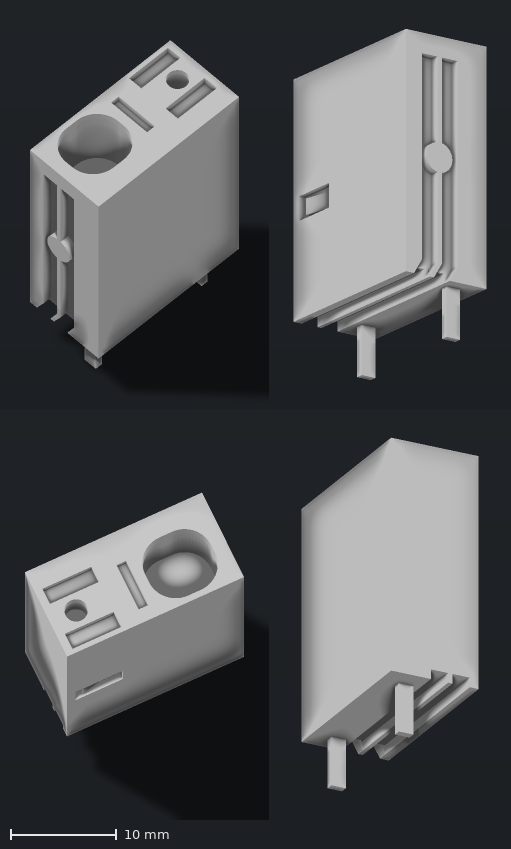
import cadquery as cq

WIDTH = 9.3
DEPTH = 18.5
OVERALL_HEIGHT = 29.15
PIN_LENGTH = 5.0
HEIGHT = OVERALL_HEIGHT - PIN_LENGTH

FEATURE_X = 3.8

RIB_WIDTH = 0.47
RIB_X = 3.9
BOSS_X = 3.85
SLOT_WIDTH = 1.85
SLOT_DEPTH = 1.0
SLOT_TOP_Z = HEIGHT - 2.07
SLOT_BEND_Z = 1.52
SLOT_MOUTH_SHIFT = 0.9
CHANNEL_HEIGHT = 1.0
BOSS_DIAMETER = 3.0
BOSS_Z = HEIGHT / 2

POCKET_WIDTH = 1.65
POCKET_LENGTH = 5.13
POCKET_DEPTH = 1.0
POCKET_SPACING = 4.95
POCKET_Y = DEPTH - 3.35
SMALL_HOLE_DIAMETER = 2.22
SMALL_HOLE_DEPTH = 3.0
SMALL_HOLE_Y = DEPTH - 2.75
LARGE_HOLE_WIDTH = 6.38
LARGE_HOLE_LENGTH = 6.88
LARGE_HOLE_CORNER_RADIUS = 2.77
LARGE_HOLE_DEPTH = 7.0
LARGE_HOLE_Y = DEPTH - 13.6

INSERT_WIDTH = 5.92
INSERT_LENGTH = 3.0
INSERT_HEIGHT = 1.5
INSERT_Y = DEPTH - 8.2
INSERT_SLOT_WIDTH = 4.87
INSERT_SLOT_LENGTH = 1.0
INSERT_SLOT_DEPTH = 0.75
INSERT_SLOT_Y = DEPTH - 8.63

WINDOW_LENGTH = 4.95
WINDOW_HEIGHT = 2.45
WINDOW_DEPTH = 0.7
WINDOW_BACK_Y = DEPTH - 0.87
WINDOW_Z = HEIGHT - 13.12
WEDGE_LENGTH = 2.6
WEDGE_HEIGHT = 1.63
WEDGE_RISE = 0.5
WEDGE_BACK_Y = WINDOW_BACK_Y - 0.87

PIN_WIDTH = 1.55
PIN_THICKNESS = 0.8
PIN_X = 6.55
BACK_PIN_Y = DEPTH - 2.62
PIN_SPACING = 13.93


def box_below(x, y, top_z, size_x, size_y, size_z):
    """Box centred on (x, y), reaching down from top_z."""
    box = cq.Workplane("XY").box(size_x, size_y, size_z, centered=(True, True, False))
    return box.translate((x, y, top_z - size_z))


def front_slot(left_x):
    """Slot in the front face whose lower end slants left to a mouth in the underside."""
    right_x = left_x + SLOT_WIDTH
    outline = [
        (left_x, SLOT_TOP_Z),
        (right_x, SLOT_TOP_Z),
        (right_x, SLOT_BEND_Z),
        (right_x - SLOT_MOUTH_SHIFT, 0),
        (left_x - SLOT_MOUTH_SHIFT, 0),
        (left_x, SLOT_BEND_Z),
    ]
    return cq.Workplane("XZ").polyline(outline).close().extrude(-SLOT_DEPTH)


def underside_channel(left_x):
    """Straight channel that runs from a slot's mouth to the back face."""
    mouth_x = left_x - SLOT_MOUTH_SHIFT + SLOT_WIDTH / 2
    channel_length = DEPTH - SLOT_DEPTH
    channel_y = SLOT_DEPTH + channel_length / 2
    return box_below(mouth_x, channel_y, CHANNEL_HEIGHT, SLOT_WIDTH, channel_length, CHANNEL_HEIGHT)


def boss():
    """Round boss across the rib, level with the front face."""
    disc = cq.Workplane("XZ").circle(BOSS_DIAMETER / 2).extrude(-SLOT_DEPTH)
    return disc.translate((BOSS_X, 0, BOSS_Z))


def small_hole():
    """Round blind hole between the two pockets."""
    return (
        cq.Workplane("XY", origin=(FEATURE_X, SMALL_HOLE_Y, HEIGHT))
        .circle(SMALL_HOLE_DIAMETER / 2)
        .extrude(-SMALL_HOLE_DEPTH)
    )


def large_hole():
    """Deep blind opening with widely rounded corners."""
    opening = box_below(
        FEATURE_X, LARGE_HOLE_Y, HEIGHT, LARGE_HOLE_WIDTH, LARGE_HOLE_LENGTH, LARGE_HOLE_DEPTH
    )
    return opening.edges("|Z").fillet(LARGE_HOLE_CORNER_RADIUS)


def insert_block():
    """Outer block of the insert, which is also the shape of its recess."""
    return box_below(FEATURE_X, INSERT_Y, HEIGHT, INSERT_WIDTH, INSERT_LENGTH, INSERT_HEIGHT)


def window():
    """Shallow rectangular recess in the left face."""
    pocket = cq.Workplane("XY").box(WINDOW_DEPTH, WINDOW_LENGTH, WINDOW_HEIGHT)
    return pocket.translate((WINDOW_DEPTH / 2, WINDOW_BACK_Y - WINDOW_LENGTH / 2, WINDOW_Z))


def wedge():
    """Wedge on the window's floor, highest at its back end."""
    outline = [
        (WINDOW_DEPTH, WEDGE_BACK_Y),
        (WINDOW_DEPTH - WEDGE_RISE, WEDGE_BACK_Y),
        (WINDOW_DEPTH, WEDGE_BACK_Y - WEDGE_LENGTH),
    ]
    start_z = WINDOW_Z - WEDGE_HEIGHT / 2
    return cq.Workplane("XY").workplane(offset=start_z).polyline(outline).close().extrude(WEDGE_HEIGHT)


def make_housing():
    body = cq.Workplane("XY").box(WIDTH, DEPTH, HEIGHT, centered=False)
    for left_x in (RIB_X - RIB_WIDTH / 2 - SLOT_WIDTH, RIB_X + RIB_WIDTH / 2):
        body = body.cut(front_slot(left_x)).cut(underside_channel(left_x))
    body = body.union(boss())
    for side in (-1, 1):
        pocket_x = FEATURE_X + side * POCKET_SPACING / 2
        body = body.cut(box_below(pocket_x, POCKET_Y, HEIGHT, POCKET_WIDTH, POCKET_LENGTH, POCKET_DEPTH))
    body = body.cut(small_hole()).cut(large_hole()).cut(insert_block())
    return body.cut(window()).union(wedge())


def make_insert():
    slot = box_below(
        FEATURE_X, INSERT_SLOT_Y, HEIGHT, INSERT_SLOT_WIDTH, INSERT_SLOT_LENGTH, INSERT_SLOT_DEPTH
    )
    return insert_block().cut(slot)


def make_pin(y):
    """Flat pin hanging from the housing's underside."""
    return box_below(PIN_X, y, 0, PIN_WIDTH, PIN_THICKNESS, PIN_LENGTH)


housing = make_housing()
insert = make_insert()
pins = [make_pin(y) for y in (BACK_PIN_Y, BACK_PIN_Y - PIN_SPACING)]

result = cq.Compound.makeCompound([housing.val(), insert.val(), *[pin.val() for pin in pins]])